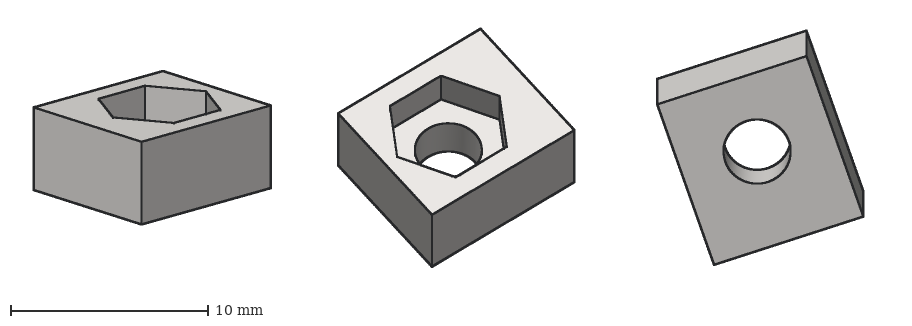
import cadquery as cq
import math

width = 8.0
length = 9.0
height = 4.4

hole_diameter = 3.4
nut_across_flats = 5.6
nut_pocket_depth = 2.0
axis_y = length / 2 - width / 2

nut_across_corners = nut_across_flats / math.cos(math.pi / 6)

block = cq.Workplane("XY").box(width, length, height, centered=(True, True, False))

bolt_hole = cq.Workplane("XY").center(0, axis_y).circle(hole_diameter / 2).extrude(height)

nut_pocket = (
    cq.Workplane("XY")
    .workplane(offset=height - nut_pocket_depth)
    .center(0, axis_y)
    .transformed(rotate=(0, 0, 90))
    .polygon(6, nut_across_corners)
    .extrude(nut_pocket_depth)
)

result = block.cut(bolt_hole).cut(nut_pocket)